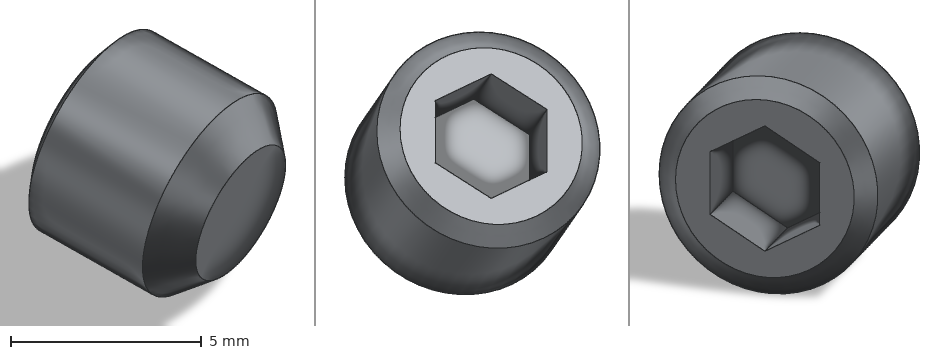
import cadquery as cq
import math

length = 5.0
diameter = 6.0

socket_face_diameter = 4.9
socket_chamfer_angle = 30.0
socket_chamfer_length = (diameter - socket_face_diameter) / 2 * math.tan(math.radians(socket_chamfer_angle))

point_diameter = 4.0
point_length = (diameter - point_diameter) / 2

hex_across_flats = 3.0
hex_across_corners = hex_across_flats / math.cos(math.radians(30))
socket_depth = 2.0


def make_body():
    """Solid of revolution about the X axis."""
    return (
        cq.Workplane("XY")
        .moveTo(0, 0)
        .lineTo(0, socket_face_diameter / 2)
        .lineTo(socket_chamfer_length, diameter / 2)
        .lineTo(length - point_length, diameter / 2)
        .lineTo(length, point_diameter / 2)
        .lineTo(length, 0)
        .close()
        .revolve(360, (0, 0, 0), (1, 0, 0))
    )


def make_socket():
    """Hexagonal prism running in from the socket face."""
    socket_plane = cq.Plane(origin=(0, 0, 0), xDir=(0, 0, 1), normal=(1, 0, 0))
    return cq.Workplane(socket_plane).polygon(6, hex_across_corners).extrude(socket_depth)


result = make_body().cut(make_socket())